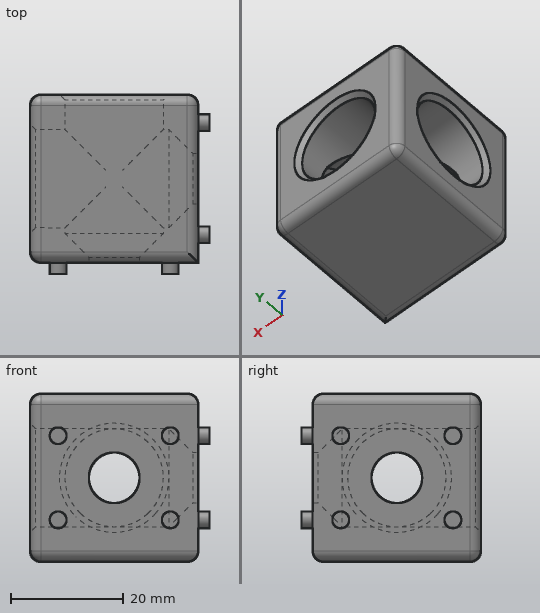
import cadquery as cq

overall_length = 32.0
cube_side = 30.0
half_side = cube_side / 2
peg_length = overall_length - cube_side
edge_radius = 2.0
pick_margin = 0.32

peg_diameter = 3.0
peg_spacing_across = 20.0
peg_spacing_up = 15.0

bore_radius = 17.5 / 2
mouth_chamfer = 1.0
outlet_radius = 9.0 / 2
outlet_length = 1.0

x_plane = cq.Plane(origin=(0, 0, 0), xDir=(0, 1, 0), normal=(1, 0, 0))
y_plane = cq.Plane(origin=(0, 0, 0), xDir=(1, 0, 0), normal=(0, -1, 0))
peg_face_planes = (x_plane, y_plane)


def rounded_cube():
    """Round every edge except the upright one shared by the two peg faces."""
    cube = cq.Workplane("XY").box(cube_side, cube_side, cube_side)
    sharp_edge = cq.selectors.BoxSelector(
        (half_side - pick_margin, -half_side - pick_margin, -pick_margin),
        (half_side + pick_margin, -half_side + pick_margin, pick_margin),
    )
    all_edges = cq.StringSyntaxSelector("|X or |Y or |Z")
    rounded_edges = cq.selectors.SubtractSelector(all_edges, sharp_edge)
    return cube.edges(rounded_edges).fillet(edge_radius)


def pegs(plane):
    """Four pegs on the face that the plane's normal points to."""
    return (
        cq.Workplane(plane)
        .workplane(offset=half_side)
        .rect(peg_spacing_across, peg_spacing_up, forConstruction=True)
        .vertices()
        .circle(peg_diameter / 2)
        .extrude(peg_length)
    )


def passage():
    """Passage along X: chamfered mouth on -X, bore with a conical end, then a round outlet through +X."""
    mouth_radius = bore_radius + mouth_chamfer
    cone_end = half_side - outlet_length
    cone_start = cone_end - (bore_radius - outlet_radius)
    return (
        cq.Workplane("XY")
        .moveTo(-half_side, 0)
        .lineTo(-half_side, mouth_radius)
        .lineTo(-half_side + mouth_chamfer, bore_radius)
        .lineTo(cone_start, bore_radius)
        .lineTo(cone_end, outlet_radius)
        .lineTo(half_side, outlet_radius)
        .lineTo(half_side, 0)
        .close()
        .revolve(360, (0, 0, 0), (1, 0, 0))
    )


result = rounded_cube()
for face_plane in peg_face_planes:
    result = result.union(pegs(face_plane))

x_passage = passage()
y_passage = x_passage.rotate((0, 0, 0), (0, 0, 1), -90)
result = result.cut(x_passage).cut(y_passage)